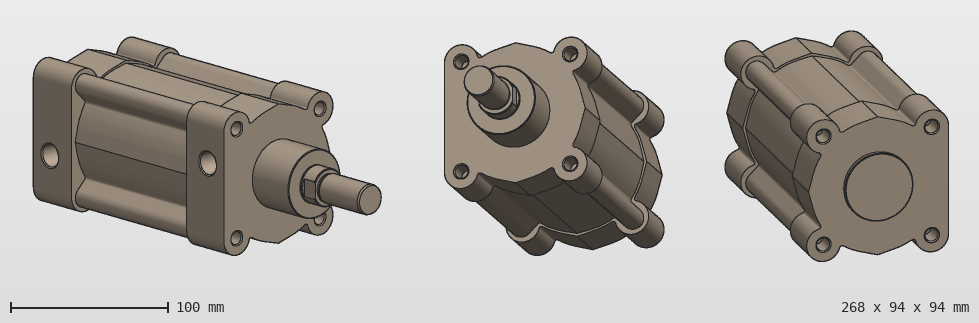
import cadquery as cq
import math

REAR_BOSS_LENGTH = 3.5
REAR_CAP_END = 39.5
TUBE_END = 147.0
FRONT_CAP_END = 182.0
COLLAR_END = 215.7
OVERALL_LENGTH = 268.0

LOBE_PITCH = 71.8
CAP_SIZE = 94.0
CAP_BODY_RADIUS = 44.2
CAP_RIDGE_HEIGHT = 45.8
CAP_NOTCH_FILLET = 1.5
BOSS_RADIUS = 22.5
BOSS_CHAMFER = 0.5
COLLAR_LIP_RADIUS = 12.5
COLLAR_LIP_END = 216.8

SCREW_HOLE_RADIUS = 4.3
SCREW_HOLE_DEPTH = 16.0
SCREW_HOLE_CHAMFER = 0.8

PORT_RADIUS = 7.5
PORT_DEPTH = 13.5
PORT_CHAMFER = 0.8
PORT_OFFSET_Z = 12.3
REAR_PORT_X = 19.0
FRONT_PORT_X = 166.7

TUBE_BODY_RADIUS = 43.0
TUBE_RIDGE_HEIGHT = 44.0
TUBE_SIZE = 87.6
TUBE_RIB_RADIUS = 7.0
TUBE_NOTCH_FILLET = 1.5

ROD_DIAMETER = 25.0
ROD_FLATS = 22.0
ROD_FLATS_START = 218.2
ROD_SHOULDER_END = 228.3
ROD_SHOULDER_CHAMFER = 0.5
NECK_RADIUS = 9.5
NECK_END = 229.7
THREAD_START = 231.0
THREAD_RADIUS = 10.0
THREAD_TIP_CHAMFER_LENGTH = 1.5

ROD_RADIUS = ROD_DIAMETER / 2
CAP_LOBE_RADIUS = (CAP_SIZE - LOBE_PITCH) / 2
TUBE_RIB_OFFSET = TUBE_SIZE / 2 - TUBE_RIB_RADIUS


def corner_points(offset):
    """The four (Y, Z) corners of a square centred on the axis."""
    return [(y, z) for y in (-offset, offset) for z in (-offset, offset)]


def cross_section(x):
    """Workplane across the axis at x, with local axes along Y and Z."""
    return cq.Workplane("YZ", origin=(x, 0, 0))


def ridged_cylinder(start, end, radius, ridge_height):
    """Cylinder with a shallow ridge on each of its four sides, made of two tangent flats."""
    length = end - start
    body = cross_section(start).circle(radius).extrude(length)
    tangent_angle = math.acos(radius / ridge_height)
    half_width = radius * math.sin(tangent_angle)
    tangent_height = radius * math.cos(tangent_angle)
    outline = [(0, 0), (half_width, tangent_height), (0, ridge_height), (-half_width, tangent_height)]
    for quarter in range(4):
        ridge = (
            cross_section(start)
            .polyline(outline)
            .close()
            .extrude(length)
            .rotate((0, 0, 0), (1, 0, 0), 90 * quarter)
        )
        body = body.union(ridge)
    return body


def fillet_notches(body, notch, radius):
    """Round the lengthwise inner corners lying at +-notch in Y and Z, in either order."""
    def is_notch(edge):
        center = edge.Center()
        place = sorted((abs(center.y), abs(center.z)))
        return math.dist(place, sorted(notch)) < radius / 2

    edges = [edge for edge in body.edges("|X").vals() if is_notch(edge)]
    return body.newObject(edges).fillet(radius)


def circle_intersection(body_radius, lobe_offset, lobe_radius):
    """Point where the body circle meets a lobe circle centred on the diagonal."""
    center_distance = lobe_offset * math.sqrt(2)
    cosine = (body_radius**2 + center_distance**2 - lobe_radius**2) / (2 * body_radius * center_distance)
    angle = math.pi / 4 + math.acos(cosine)
    return body_radius * math.cos(angle), body_radius * math.sin(angle)


def cap_block(start, end):
    """Cap with four corner lobes, with a flat face joining the two lobes at -Y."""
    length = end - start
    lobe_offset = LOBE_PITCH / 2
    block = ridged_cylinder(start, end, CAP_BODY_RADIUS, CAP_RIDGE_HEIGHT)
    lobe_centers = corner_points(lobe_offset)
    lobes = cross_section(start).pushPoints(lobe_centers).circle(CAP_LOBE_RADIUS).extrude(length)
    flat_side = (
        cross_section(start)
        .center(-(CAP_SIZE / 2 + lobe_offset) / 2, 0)
        .rect(CAP_LOBE_RADIUS, LOBE_PITCH)
        .extrude(length)
    )
    block = block.union(lobes).union(flat_side)
    notch = circle_intersection(CAP_BODY_RADIUS, lobe_offset, CAP_LOBE_RADIUS)
    return fillet_notches(block, notch, CAP_NOTCH_FILLET)


def chamfered_hole(radius, depth, chamfer):
    """Cutter for a blind hole entering along +Z from the origin, with a chamfered mouth."""
    profile = [(0, 0), (radius + chamfer, 0), (radius, chamfer), (radius, depth), (0, depth)]
    return cq.Workplane("XZ").polyline(profile).close().revolve(360, (0, 0, 0), (0, 1, 0))


def cut_screw_holes(cap, face_x, turn):
    """Cut the four lobe holes from the face at face_x; turn is 90 to enter along +X, -90 along -X."""
    hole = chamfered_hole(SCREW_HOLE_RADIUS, SCREW_HOLE_DEPTH, SCREW_HOLE_CHAMFER)
    hole = hole.rotate((0, 0, 0), (0, 1, 0), turn)
    for y, z in corner_points(LOBE_PITCH / 2):
        cap = cap.cut(hole.translate((face_x, y, z)))
    return cap


def cut_port(cap, x, z):
    """Cut an air port into the flat -Y face of a cap."""
    port = chamfered_hole(PORT_RADIUS, PORT_DEPTH, PORT_CHAMFER).rotate((0, 0, 0), (1, 0, 0), -90)
    return cap.cut(port.translate((x, -CAP_SIZE / 2, z)))


def make_rear_cap():
    """Cap closing the tube at -X, with a short round boss."""
    cap = cap_block(REAR_BOSS_LENGTH, REAR_CAP_END)
    boss = cross_section(0).circle(BOSS_RADIUS).extrude(REAR_BOSS_LENGTH)
    cap = cap.union(boss.faces("<X").chamfer(BOSS_CHAMFER))
    cap = cut_screw_holes(cap, REAR_BOSS_LENGTH, 90)
    return cut_port(cap, REAR_PORT_X, -PORT_OFFSET_Z)


def make_front_cap():
    """Cap at +X with a long collar ending in a thin lip around the rod."""
    cap = cap_block(TUBE_END, FRONT_CAP_END)
    collar_length = COLLAR_END - FRONT_CAP_END
    collar = cross_section(FRONT_CAP_END).circle(BOSS_RADIUS).extrude(collar_length)
    lip = cross_section(COLLAR_END).circle(COLLAR_LIP_RADIUS).extrude(COLLAR_LIP_END - COLLAR_END)
    cap = cap.union(collar.faces(">X").chamfer(BOSS_CHAMFER)).union(lip)
    cap = cut_screw_holes(cap, FRONT_CAP_END, -90)
    return cut_port(cap, FRONT_PORT_X, PORT_OFFSET_Z)


def make_tube():
    """Extruded barrel with a round-ended rib along each corner."""
    length = TUBE_END - REAR_CAP_END
    tube = ridged_cylinder(REAR_CAP_END, TUBE_END, TUBE_BODY_RADIUS, TUBE_RIDGE_HEIGHT)
    rib_distance = TUBE_RIB_OFFSET * math.sqrt(2)
    for corner in range(4):
        rib = (
            cross_section(REAR_CAP_END)
            .moveTo(0, -TUBE_RIB_RADIUS)
            .lineTo(rib_distance, -TUBE_RIB_RADIUS)
            .threePointArc((rib_distance + TUBE_RIB_RADIUS, 0), (rib_distance, TUBE_RIB_RADIUS))
            .lineTo(0, TUBE_RIB_RADIUS)
            .close()
            .extrude(length)
            .rotate((0, 0, 0), (1, 0, 0), 45 + 90 * corner)
        )
        tube = tube.union(rib)
    notch_angle = math.pi / 4 + math.asin(TUBE_RIB_RADIUS / TUBE_BODY_RADIUS)
    notch = (TUBE_BODY_RADIUS * math.cos(notch_angle), TUBE_BODY_RADIUS * math.sin(notch_angle))
    return fillet_notches(tube, notch, TUBE_NOTCH_FILLET)


def make_rod():
    """Rod end with wrench flats on its shoulder, a relief neck and a thread chamfered to the neck radius."""
    profile = [
        (COLLAR_LIP_END, 0),
        (COLLAR_LIP_END, ROD_RADIUS),
        (ROD_SHOULDER_END - ROD_SHOULDER_CHAMFER, ROD_RADIUS),
        (ROD_SHOULDER_END, ROD_RADIUS - ROD_SHOULDER_CHAMFER),
        (ROD_SHOULDER_END, NECK_RADIUS),
        (NECK_END, NECK_RADIUS),
        (THREAD_START, THREAD_RADIUS),
        (OVERALL_LENGTH - THREAD_TIP_CHAMFER_LENGTH, THREAD_RADIUS),
        (OVERALL_LENGTH, NECK_RADIUS),
        (OVERALL_LENGTH, 0),
    ]
    rod = cq.Workplane("XY").polyline(profile).close().revolve(360, (0, 0, 0), (1, 0, 0))
    flats_length = ROD_SHOULDER_END - ROD_FLATS_START
    for side in (-1, 1):
        waste = (
            cross_section(ROD_FLATS_START)
            .center(side * (ROD_FLATS / 2 + ROD_RADIUS / 2), 0)
            .rect(ROD_RADIUS, 2 * ROD_RADIUS)
            .extrude(flats_length)
        )
        rod = rod.cut(waste)
    return rod


rear_cap = make_rear_cap()
tube = make_tube()
front_cap = make_front_cap()
piston_rod = make_rod()

result = cq.Compound.makeCompound([rear_cap.val(), tube.val(), front_cap.val(), piston_rod.val()])